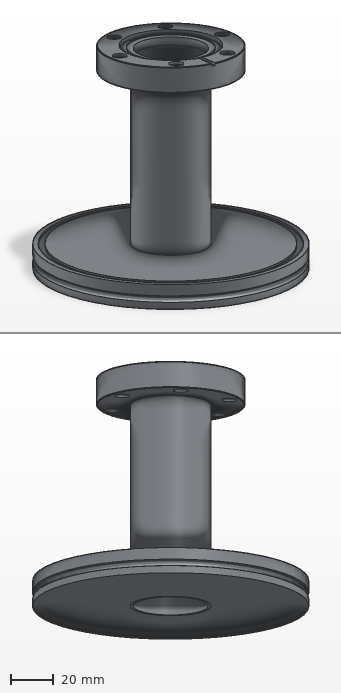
import cadquery as cq

plate_radius = 65.0
plate_thickness = 12.2
rim_groove_radius = 1.5
rim_groove_height = 5.1
face_groove_outer_radius = 62.4
face_groove_inner_radius = 59.3
face_groove_depth = 1.0

tube_outer_radius = 19.0
tube_inner_radius = 17.5

total_height = 110.0
flange_radius = 35.0
flange_thickness = 12.7
flange_bottom = total_height - flange_thickness
flange_edge_chamfer = 0.4
flange_bore_radius = 17.7

recess_radius = 24.3
knife_radius = 20.9
recess_depth = 2.3
knife_tip_depth = 1.0
seal_floor_depth = 1.5
tube_end_depth = 5.6

bolt_count = 6
bolt_circle_radius = 29.4
bolt_hole_diameter = 6.9
first_bolt_angle = -7.5
slot_angle = first_bolt_angle - 180 / bolt_count
slot_width = 2.0
slot_depth = 1.3

tube_top = total_height - tube_end_depth


def revolve_profile(profile):
    """Turn a closed radius-height profile about the Z axis."""
    return profile.close().revolve(360, (0, 0, 0), (0, 1, 0))


def ring(outer_radius, inner_radius, bottom, top):
    return (
        cq.Workplane("XY")
        .workplane(offset=bottom)
        .circle(outer_radius)
        .circle(inner_radius)
        .extrude(top - bottom)
    )


def cylinder(radius, bottom, top):
    return cq.Workplane("XY").workplane(offset=bottom).circle(radius).extrude(top - bottom)


def make_plate():
    plate = ring(plate_radius, tube_outer_radius, 0, plate_thickness)
    rim_groove = revolve_profile(
        cq.Workplane("XZ")
        .moveTo(plate_radius, rim_groove_height - rim_groove_radius)
        .radiusArc((plate_radius - rim_groove_radius, rim_groove_height), rim_groove_radius)
        .radiusArc((plate_radius, rim_groove_height + rim_groove_radius), rim_groove_radius)
    )
    face_groove = ring(
        face_groove_outer_radius,
        face_groove_inner_radius,
        plate_thickness - face_groove_depth,
        plate_thickness,
    )
    return plate.cut(rim_groove).cut(face_groove)


def make_tube():
    return ring(tube_outer_radius, tube_inner_radius, 0, tube_top)


def make_flange_blank():
    blank = cylinder(flange_radius, flange_bottom, total_height).edges().chamfer(flange_edge_chamfer)
    bore = cylinder(flange_bore_radius, flange_bottom, total_height)
    tube_socket = cylinder(tube_outer_radius, flange_bottom, tube_top)
    return blank.cut(bore).cut(tube_socket)


def make_seal_recess():
    seal_floor = total_height - seal_floor_depth
    return revolve_profile(
        cq.Workplane("XZ")
        .moveTo(0, total_height)
        .lineTo(recess_radius, total_height)
        .lineTo(recess_radius, total_height - recess_depth)
        .lineTo(knife_radius, total_height - knife_tip_depth)
        .lineTo(knife_radius, seal_floor)
        .lineTo(0, seal_floor)
    )


def make_bolt_holes():
    return (
        cq.Workplane("XY")
        .workplane(offset=flange_bottom)
        .polarArray(bolt_circle_radius, first_bolt_angle, 360, bolt_count)
        .circle(bolt_hole_diameter / 2)
        .extrude(flange_thickness)
    )


def make_leak_slot():
    start = (recess_radius + knife_radius) / 2
    return (
        cq.Workplane("XY")
        .box(flange_radius, slot_width, slot_depth, centered=(False, True, False))
        .translate((start, 0, total_height - slot_depth))
        .rotate((0, 0, 0), (0, 0, 1), slot_angle)
    )


def make_flange():
    return make_flange_blank().cut(make_seal_recess()).cut(make_bolt_holes()).cut(make_leak_slot())


plate = make_plate()
tube = make_tube()
flange = make_flange()

result = cq.Compound.makeCompound([plate.val(), tube.val(), flange.val()])